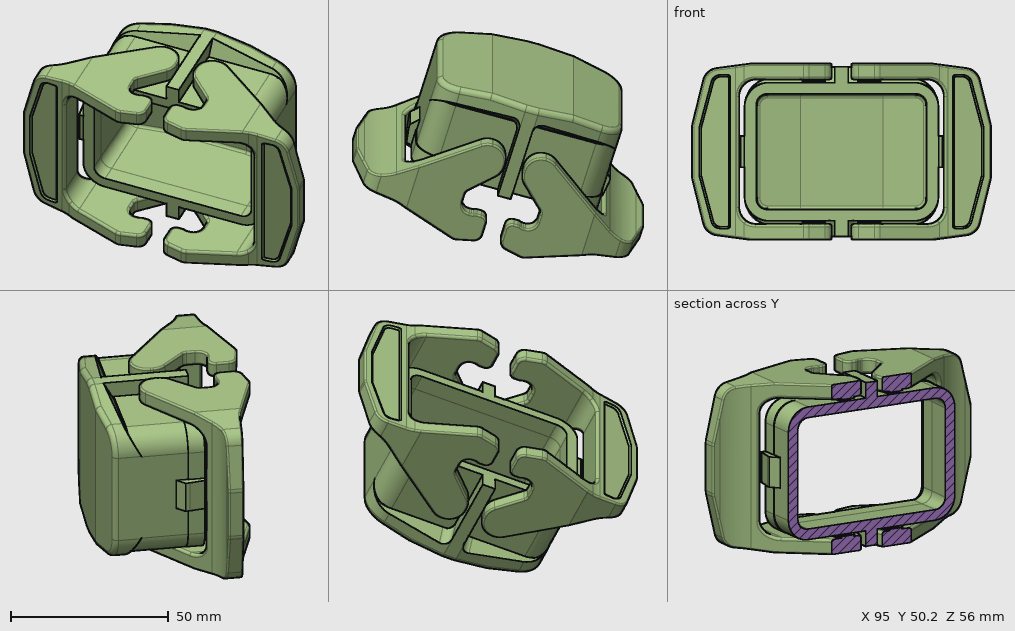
import cadquery as cq
import math


BODY_HALF_X = 30.6
BODY_HALF_Z = 21.9
BODY_CORNER_R = 7.4
MOUTH_BAND_DEPTH = 5.4
MOUTH_BAND_STEP = 0.2
BACK_Y = 32.1
BACK_FLAT_HALF_X = 13.4
BACK_TILT = math.radians(8.6)
BACK_SLOPE = math.tan(BACK_TILT)
BACK_EDGE_R = 1.8

FLANGE_HALF_Z = 27.0
FLANGE_SLOPE = math.tan(math.radians(10.0))
FLANGE_CORNER_R = 8.7
FLANGE_CORNER_Z = 14.5
FLANGE_START_Y = 20.4
UNDERSIDE_SLOPE = 0.563
RIB_HALF_X = 2.15
RIB_FILLET_R = 3.0

CAVITY_HALF_X = 27.1
CAVITY_HALF_Z = 18.4
CAVITY_CORNER_R = 3.7
CAVITY_FLOOR_R = 0.9
CAVITY_DRAFT = 1.0
BACK_WALL = 3.2

TAB_HALF_Z = 5.0
TAB_PEAK_X = 33.15
TAB_PEAK_Y = 6.7
TAB_END_X = 32.4
TAB_NOSE_X = 32.0
TAB_START_Y = 0.1
TAB_NOSE_Y = 0.3
TAB_ROOT_X = 29.0

LEVER_END_X = 47.5
LEVER_TIP_X = 3.1
HANDLE_REAR_Y = -4.5
HANDLE_FRONT_Y = -9.45
HANDLE_FRONT_SLOPE = 0.1
HANDLE_ROOT_X = -32.3
HANDLE_ROOT_R = 11.7
ARM_SLOPE = math.tan(math.radians(36.8))
ARM_FOOT_X = -39.6
ARM_FOOT_R = 16.0
TIP_TOP_Y = 17.0
TIP_R = 5.7
THROAT_START_Y = 8.05
HOOK_X = 12.45
HOOK_TOP_R = 2.0
HOOK_FLOOR_Y = -8.05
HOOK_R = 3.2
HOOK_LIP_X = -7.1
HOOK_LIP_Y = -7.65
HOOK_LIP_RAMP = 1.2
HOOK_LIP_R = 2.0
HOOK_NOSE_R = 2.3
HOOK_TOE_Y = -16.36
HOOK_TOE_R = 2.9
HOOK_HEEL_X = -11.3
HOOK_HEEL_Y = -18.23
HOOK_HEEL_R = 3.2

LEVER_HALF_Z = 28.0
HANDLE_SHOULDER_X = -29.0
HANDLE_CORNER_X = -43.1
HANDLE_CORNER_Z = 26.1
HANDLE_CORNER_R = 5.2
HANDLE_END_HALF_Z = 8.3
HANDLE_END_R = 5.0
WINDOW_X = 32.45
WINDOW_HALF_Z = 22.9
WINDOW_CORNER_R = 5.3
OUTER_EDGE_R = 0.6
INNER_EDGE_R = 0.9

POCKET_DEPTH = 0.6
POCKET_WALL_TAPER = 45.0
POCKET_HALF_Z = 24.4
POCKET_INNER_X = -35.2
POCKET_INNER_R = 1.0
POCKET_CORNER_X = -40.7
POCKET_CORNER_R = 3.0
POCKET_OUTER_X = -45.2
POCKET_END_HALF_Z = 7.5

PIVOT_X = LEVER_TIP_X + TIP_R
PIVOT_Y = TIP_TOP_Y - TIP_R
BOSS_R = 3.65
BOSS_FACE_Z = 22.4
PIN_R = 2.5

SHORTEST_LINE = 0.001
TOLERANCE = 0.01
OVERLAP = 1.0


def rounded_outline(plane, corners):
    """Closed wire through (u, v, radius) corners, each rounded by its own radius."""
    count = len(corners)
    path = None
    end = None
    for i in range(count):
        u, v, radius = corners[i]
        corner = cq.Vector(u, v)
        before = (cq.Vector(*corners[i - 1][:2]) - corner).normalized()
        after = (cq.Vector(*corners[(i + 1) % count][:2]) - corner).normalized()
        half_angle = before.getAngle(after) / 2
        setback = radius / math.tan(half_angle)
        start = corner + before * setback
        if path is None:
            path = cq.Workplane(plane).moveTo(start.x, start.y)
        elif (start - end).Length > SHORTEST_LINE:
            path = path.lineTo(start.x, start.y)
        end = corner + after * setback
        if radius > 0:
            bisector = (before + after).normalized()
            middle = corner + bisector * (radius / math.sin(half_angle) - radius)
            path = path.threePointArc((middle.x, middle.y), (end.x, end.y))
    return path.close()


def along_y(half_x, half_z, corner_r, y_end):
    """Rounded rectangular block from the mouth plane to y_end."""
    block = cq.Workplane("XZ").rect(2 * half_x, 2 * half_z).extrude(-y_end)
    return block.edges("|Y").fillet(corner_r)


def under_back(offset):
    """Prism reaching up to the faceted back face, moved inward by offset."""
    reach_x = 2 * BODY_HALF_X
    flat_y = BACK_Y - offset
    crease_x = BACK_FLAT_HALF_X - offset * math.tan(BACK_TILT / 2)
    edge_y = flat_y - BACK_SLOPE * (reach_x - crease_x)
    outline = [
        (-reach_x, 0), (reach_x, 0), (reach_x, edge_y), (crease_x, flat_y),
        (-crease_x, flat_y), (-reach_x, edge_y),
    ]
    return cq.Workplane("XY").polyline(outline).close().extrude(LEVER_HALF_Z, both=True)


def flange():
    """Roof-shaped collar whose undersides slope up from the hood's sides."""
    slant_end_z = FLANGE_HALF_Z - FLANGE_SLOPE * (BODY_HALF_X - RIB_HALF_X)
    corners = [
        (-BODY_HALF_X, -slant_end_z, FLANGE_CORNER_R),
        (-RIB_HALF_X, -FLANGE_HALF_Z, 0),
        (RIB_HALF_X, -FLANGE_HALF_Z, 0),
        (BODY_HALF_X, -slant_end_z, FLANGE_CORNER_R),
        (BODY_HALF_X, slant_end_z, FLANGE_CORNER_R),
        (RIB_HALF_X, FLANGE_HALF_Z, 0),
        (-RIB_HALF_X, FLANGE_HALF_Z, 0),
        (-BODY_HALF_X, slant_end_z, FLANGE_CORNER_R),
    ]
    collar = rounded_outline("XZ", corners).extrude(-BACK_Y).intersect(under_back(0))
    back_rim = [edge for edge in collar.edges("not |Y").vals() if is_rim(edge)]
    collar = collar.newObject(back_rim).fillet(BACK_EDGE_R)

    far_z = LEVER_HALF_Z
    far_y = FLANGE_START_Y + UNDERSIDE_SLOPE * (far_z - FLANGE_CORNER_Z)
    keep = [
        (FLANGE_START_Y, FLANGE_CORNER_Z), (far_y, far_z), (2 * BACK_Y, far_z),
        (2 * BACK_Y, -far_z), (far_y, -far_z), (FLANGE_START_Y, -FLANGE_CORNER_Z),
    ]
    wedge = cq.Workplane("YZ").polyline(keep).close().extrude(LEVER_END_X, both=True)
    return collar.intersect(wedge)


def is_rim(edge):
    """True for the outer border of the back, without the two creases across it."""
    center = edge.Center()
    distance = abs(abs(center.x) - BACK_FLAT_HALF_X)
    is_crease = distance < BACK_WALL * math.tan(BACK_TILT)
    return center.y > FLANGE_START_Y and not is_crease


def rib():
    """Rib along the middle of both long sides, from the mouth to the back."""
    bar = cq.Workplane("XZ").rect(2 * RIB_HALF_X, 2 * FLANGE_HALF_Z)
    return bar.extrude(-(BACK_Y - BACK_EDGE_R))


def is_lower_rib_root(edge):
    """True where the rib's sides meet the lower underside of the flange."""
    center = edge.Center()
    box = edge.BoundingBox()
    on_rib_side = abs(abs(center.x) - RIB_HALF_X) < TOLERANCE and box.xlen < TOLERANCE
    is_sloped = box.ylen > TOLERANCE and box.zlen > TOLERANCE
    is_below_back = box.ymax < BACK_Y - 2 * BACK_EDGE_R
    return center.z < -BODY_HALF_Z and on_rib_side and is_sloped and is_below_back


def snap_tab(side):
    """Wedge-shaped catch on the short side given by the sign of side."""
    profile = [
        (TAB_ROOT_X, TAB_START_Y), (TAB_NOSE_X, TAB_START_Y), (TAB_END_X, TAB_NOSE_Y),
        (TAB_PEAK_X, MOUTH_BAND_DEPTH), (TAB_PEAK_X, TAB_PEAK_Y),
        (TAB_ROOT_X, TAB_PEAK_Y + TAB_PEAK_X - TAB_ROOT_X),
    ]
    points = [(side * x, y) for x, y in profile]
    return cq.Workplane("XY").polyline(points).close().extrude(TAB_HALF_Z, both=True)


def cavity():
    """Inside of the hood, with a floor that follows the back."""
    entry = along_y(CAVITY_HALF_X, CAVITY_HALF_Z, CAVITY_CORNER_R, MOUTH_BAND_DEPTH)
    hollow = entry.faces(">Y").wires().toPending().workplane().extrude(
        BACK_Y - MOUTH_BAND_DEPTH, taper=CAVITY_DRAFT)
    hollow = hollow.intersect(under_back(BACK_WALL))
    floor_rim = [edge for edge in hollow.edges("not |Y").vals() if is_rim(edge)]
    return hollow.newObject(floor_rim).fillet(CAVITY_FLOOR_R)


def hood():
    """Body, flange, ribs, mouth band and snap tabs, hollowed from the mouth."""
    body_y = FLANGE_START_Y + BODY_CORNER_R / 2
    body = along_y(BODY_HALF_X, BODY_HALF_Z, BODY_CORNER_R, body_y)
    band_half_x = BODY_HALF_X + MOUTH_BAND_STEP
    band = along_y(band_half_x, BODY_HALF_Z, BODY_CORNER_R, MOUTH_BAND_DEPTH)
    shell = flange().union(body).union(rib())
    rib_roots = [edge for edge in shell.edges().vals() if is_lower_rib_root(edge)]
    shell = shell.newObject(rib_roots).fillet(RIB_FILLET_R)
    shell = shell.union(band)
    for side in (-1, 1):
        shell = shell.union(snap_tab(side))
    return shell.cut(cavity())


def lever_profile():
    """Side outline of the left lever: handle, pivot arm, throat and hook."""
    arm_top_x = ARM_FOOT_X + (TIP_TOP_Y - HANDLE_REAR_Y) / ARM_SLOPE
    handle_root_y = HANDLE_FRONT_Y - HANDLE_FRONT_SLOPE * (HANDLE_ROOT_X + LEVER_END_X)
    throat_end_y = THROAT_START_Y - (HOOK_X - LEVER_TIP_X)
    return rounded_outline("XY", [
        (-LEVER_END_X, HANDLE_REAR_Y, 0),
        (ARM_FOOT_X, HANDLE_REAR_Y, ARM_FOOT_R),
        (arm_top_x, TIP_TOP_Y, TIP_R),
        (-LEVER_TIP_X, TIP_TOP_Y, TIP_R),
        (-LEVER_TIP_X, THROAT_START_Y, TIP_R),
        (-HOOK_X, throat_end_y, HOOK_TOP_R),
        (-HOOK_X, HOOK_FLOOR_Y, HOOK_R),
        (HOOK_LIP_X - HOOK_LIP_RAMP, HOOK_FLOOR_Y, HOOK_LIP_R),
        (HOOK_LIP_X, HOOK_LIP_Y, HOOK_LIP_R),
        (-LEVER_TIP_X, HOOK_LIP_Y, HOOK_NOSE_R),
        (-LEVER_TIP_X, HOOK_TOE_Y, HOOK_TOE_R),
        (HOOK_HEEL_X, HOOK_HEEL_Y, HOOK_HEEL_R),
        (HANDLE_ROOT_X, handle_root_y, HANDLE_ROOT_R),
        (-LEVER_END_X, HANDLE_FRONT_Y, 0),
    ])


def mirrored_in_z(half):
    """Corners of an outline that is symmetric about z = 0, from those of its upper half."""
    lower = [(x, -z, radius) for x, z, radius in reversed(half)]
    return half + lower


def lever_blank():
    """Left lever before its window and pocket are cut."""
    front_outline = mirrored_in_z([
        (0, LEVER_HALF_Z, 0),
        (HANDLE_SHOULDER_X, LEVER_HALF_Z, 0),
        (HANDLE_CORNER_X, HANDLE_CORNER_Z, HANDLE_CORNER_R),
        (-LEVER_END_X, HANDLE_END_HALF_Z, HANDLE_END_R),
    ])
    side = lever_profile().extrude(LEVER_HALF_Z, both=True)
    front = rounded_outline("XZ", front_outline).extrude(LEVER_END_X, both=True)
    return side.intersect(front)


def lever_window():
    """Opening between the two arms of the left lever."""
    opening = cq.Workplane("XZ").rect(2 * WINDOW_X, 2 * WINDOW_HALF_Z)
    return opening.extrude(LEVER_END_X, both=True).edges("|Y").fillet(WINDOW_CORNER_R)


def handle_pocket():
    """Shallow recess with sloping walls in the front of the handle."""
    tilt = math.degrees(math.atan(HANDLE_FRONT_SLOPE))
    corners = mirrored_in_z([
        (POCKET_INNER_X, POCKET_HALF_Z, POCKET_INNER_R),
        (POCKET_CORNER_X, POCKET_HALF_Z, POCKET_CORNER_R),
        (POCKET_OUTER_X, POCKET_END_HALF_Z, 0),
    ])
    from_handle_end = [(x + LEVER_END_X, z, radius) for x, z, radius in corners]
    recess = rounded_outline("XZ", from_handle_end).extrude(-POCKET_DEPTH, taper=POCKET_WALL_TAPER)
    recess = recess.rotate((0, 0, 0), (0, 0, 1), -tilt)
    return recess.translate((-LEVER_END_X, HANDLE_FRONT_Y, 0))


def pivots():
    """Bosses on the inside of the left arms, with pins into the hood."""
    parts = cq.Workplane("XY")
    for side in (-1, 1):
        for radius, inner_z in ((BOSS_R, BOSS_FACE_Z), (PIN_R, BODY_HALF_Z - OVERLAP)):
            length = WINDOW_HALF_Z + OVERLAP - inner_z
            disc = cq.Workplane("XY").center(-PIVOT_X, PIVOT_Y).circle(radius).extrude(length)
            disc = disc.translate((0, 0, inner_z))
            parts = parts.union(disc if side > 0 else disc.mirror("XY"))
    return parts


def is_on_window(edge):
    """True for an edge along the border of the lever's window."""
    box = edge.BoundingBox()
    inside_arms = max(-box.zmin, box.zmax) < WINDOW_HALF_Z + TOLERANCE
    return inside_arms and box.xmin > -WINDOW_X - TOLERANCE


def left_lever():
    """Left lever with rounded edges, pocketed handle and pivots."""
    lever = lever_blank().edges("not (|Z or |Y)").fillet(OUTER_EDGE_R)
    lever = lever.cut(lever_window())
    window_edges = [edge for edge in lever.edges("not (|Z or |Y)").vals() if is_on_window(edge)]
    lever = lever.newObject(window_edges).fillet(INNER_EDGE_R)
    return lever.cut(handle_pocket()).union(pivots())


left = left_lever()
result = hood().union(left).union(left.mirror("YZ"))